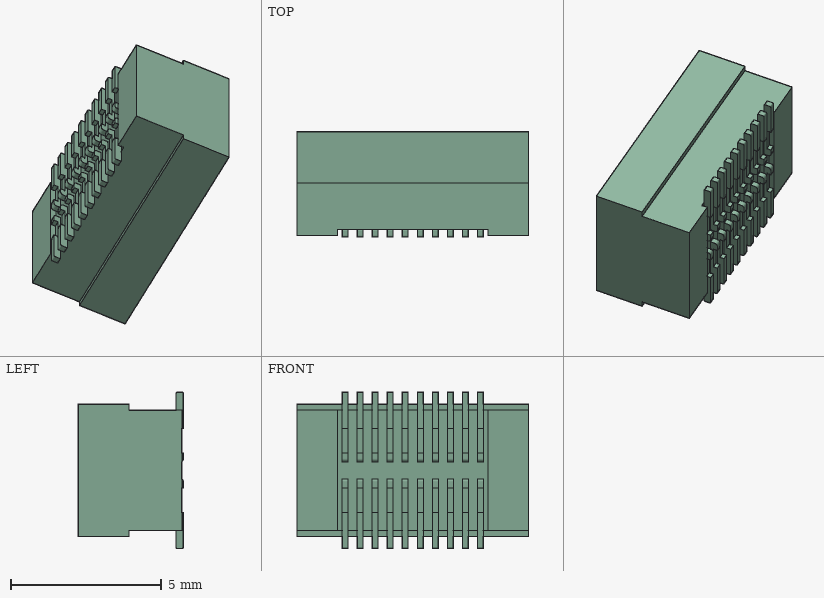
import cadquery as cq

body_length = 7.7
overall_depth = 3.5
standoff = 0.05

rear_height = 4.4
rear_depth = 1.7
front_height = 4.0

recess_length = 5.0
recess_depth = 0.2
recess_floor_y = standoff + recess_depth

contacts_per_row = 10
contact_pitch = 0.5
contact_width = 0.2
contact_thickness = recess_floor_y
contact_tip_z = 2.6
contact_inner_z = 0.28

foot_length = 1.2
pad_length = 0.3
relief_depth = 0.15
tip_radius = 0.05
pad_radius = 0.1


def make_housing():
    """Stepped block with the contact recess cut across its front face."""
    rear_start = overall_depth - rear_depth
    rear = (
        cq.Workplane("XY")
        .box(body_length, rear_depth, rear_height, centered=(True, False, True))
        .translate((0, rear_start, 0))
    )
    front = (
        cq.Workplane("XY")
        .box(body_length, rear_start - standoff, front_height, centered=(True, False, True))
        .translate((0, standoff, 0))
    )
    recess = cq.Workplane("XY").box(recess_length, 2 * recess_floor_y, front_height)
    return rear.union(front).cut(recess)


def make_contact():
    """Upper-row contact centred on X = 0, extruded from its side profile."""
    foot_inner_z = contact_tip_z - foot_length
    pad_outer_z = contact_inner_z + pad_length
    profile = [
        (contact_thickness, contact_inner_z),
        (0, contact_inner_z),
        (0, pad_outer_z),
        (relief_depth, pad_outer_z),
        (relief_depth, foot_inner_z),
        (0, foot_inner_z),
        (0, contact_tip_z),
        (contact_thickness, contact_tip_z),
    ]
    blank = cq.Workplane("YZ").polyline(profile).close().extrude(contact_width / 2, both=True)
    rounded_tip = blank.edges("|X and >Z").fillet(tip_radius)
    return rounded_tip.edges("|X and <Z and <Y").fillet(pad_radius)


def add_contacts(housing):
    """Join both rows of contacts to the recess floor."""
    upper = make_contact()
    lower = upper.mirror("XY")
    first_x = -contact_pitch * (contacts_per_row - 1) / 2
    part = housing
    for index in range(contacts_per_row):
        position = (first_x + index * contact_pitch, 0, 0)
        part = part.union(upper.translate(position))
        part = part.union(lower.translate(position))
    return part


result = add_contacts(make_housing())